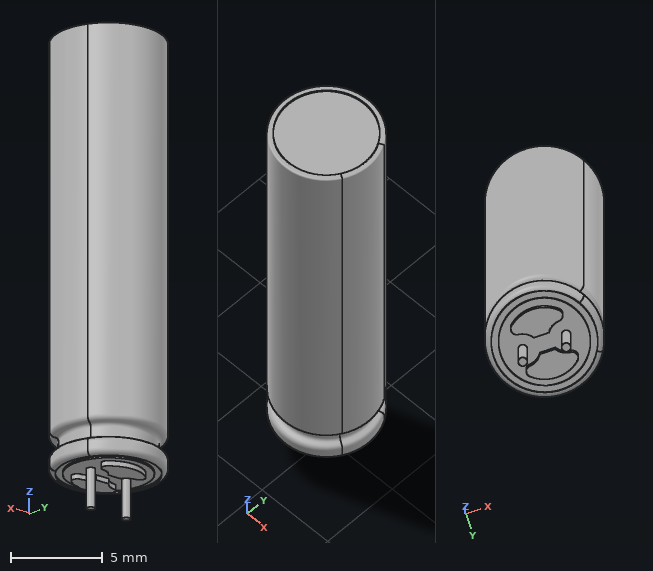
import cadquery as cq
import math


outer_radius = 3.25
total_height = 27.4
lead_length = 2.0
foot_height = 0.3
base_z = foot_height
top_z = total_height - lead_length

sleeve_thickness = 0.1
opening_radius = 2.9
top_round = sleeve_thickness
bottom_round = 0.325
stripe_half_angle = 30.0

neck_radius = 2.75
bead_flat = 0.4
neck_flat = 0.42
flank_outer_round = 0.325
flank_inner_round = 0.25
flank_center_radius = outer_radius - flank_outer_round
neck_center_radius = neck_radius + flank_inner_round
flank_height = math.sqrt(
    (flank_outer_round + flank_inner_round) ** 2 - (neck_center_radius - flank_center_radius) ** 2
)

bead_bottom_z = base_z + bottom_round
bead_top_z = bead_bottom_z + bead_flat
neck_bottom_z = bead_top_z + flank_height
neck_top_z = neck_bottom_z + neck_flat
body_bottom_z = neck_top_z + flank_height

lead_pitch = 2.5
lead_diameter = 0.5

bung_radius = 2.5
bung_top_z = body_bottom_z
foot_outer_radius = 2.05
foot_inner_y = 0.5
foot_end_round = 0.33
lead_clearance_radius = 0.95


def arc_point(center, radius, degrees):
    """Point on a circle in the (radius, height) half plane."""
    angle = math.radians(degrees)
    return (center[0] + radius * math.cos(angle), center[1] + radius * math.sin(angle))


def turned_body(inset):
    """Solid of revolution whose outline lies `inset` inside the outside of the sleeve."""
    wall = outer_radius - inset
    neck = neck_radius - inset
    bottom = base_z + inset
    top = top_z - inset
    corner = bottom_round - inset
    outer_round = flank_outer_round - inset
    inner_round = flank_inner_round + inset
    rim_round = top_round - inset

    tilt = math.degrees(math.atan2(flank_height, neck_center_radius - flank_center_radius))
    bead_center = (flank_center_radius, bead_top_z)
    neck_low_center = (neck_center_radius, neck_bottom_z)
    neck_high_center = (neck_center_radius, neck_top_z)
    body_center = (flank_center_radius, body_bottom_z)
    corner_center = (outer_radius - bottom_round, bead_bottom_z)

    outline = (
        cq.Workplane("XZ")
        .moveTo(0, bottom)
        .lineTo(corner_center[0], bottom)
        .threePointArc(arc_point(corner_center, corner, -45), (wall, bead_bottom_z))
        .lineTo(wall, bead_top_z)
        .threePointArc(
            arc_point(bead_center, outer_round, tilt / 2),
            arc_point(bead_center, outer_round, tilt),
        )
        .threePointArc(
            arc_point(neck_low_center, inner_round, 180 + tilt / 2),
            (neck, neck_bottom_z),
        )
        .lineTo(neck, neck_top_z)
        .threePointArc(
            arc_point(neck_high_center, inner_round, 180 - tilt / 2),
            arc_point(neck_high_center, inner_round, 180 - tilt),
        )
        .threePointArc(
            arc_point(body_center, outer_round, -tilt / 2),
            (wall, body_bottom_z),
        )
    )
    if rim_round > 0:
        rim_center = (outer_radius - top_round, top_z - top_round)
        outline = outline.lineTo(wall, rim_center[1]).threePointArc(
            arc_point(rim_center, rim_round, 45), (rim_center[0], top)
        )
    else:
        outline = outline.lineTo(wall, top)
    return outline.lineTo(0, top).close().revolve(360, (0, 0, 0), (0, 1, 0))


def cylinder(radius, bottom, top, x=0):
    return cq.Workplane("XY", origin=(x, 0, bottom)).circle(radius).extrude(top - bottom)


def make_stripe_wedge():
    """Prism with its edge on the axis, covering the angle of the stripe on the +X side."""
    reach = 2 * outer_radius
    half_width = reach * math.tan(math.radians(stripe_half_angle))
    corners = [(0, 0), (reach, -half_width), (reach, half_width)]
    return cq.Workplane("XY").polyline(corners).close().extrude(top_z)


def make_full_sleeve():
    """Thin skin over the can, folded in at both ends around round openings."""
    skin = turned_body(0).cut(turned_body(sleeve_thickness))
    top_opening = cylinder(opening_radius, top_z - sleeve_thickness, top_z)
    bottom_opening = cylinder(opening_radius, base_z, base_z + sleeve_thickness)
    return skin.cut(top_opening).cut(bottom_opening)


def make_can():
    return turned_body(sleeve_thickness).cut(cylinder(bung_radius, base_z, bung_top_z))


def make_foot(side):
    """Rounded foot on the +Y (side = 1) or -Y (side = -1) half, hollowed around both leads."""
    half_plane = (
        cq.Workplane("XY")
        .center(0, side * (foot_inner_y + foot_outer_radius))
        .rect(2 * foot_outer_radius, 2 * foot_outer_radius)
        .extrude(foot_height)
    )
    foot = cylinder(foot_outer_radius, 0, foot_height).intersect(half_plane)
    for x in lead_positions:
        foot = foot.cut(cylinder(lead_clearance_radius, 0, foot_height, x))
    return foot.edges("|Z and (<X or >X)").fillet(foot_end_round)


def make_bung():
    bung = cylinder(bung_radius, base_z, bung_top_z)
    for side in (-1, 1):
        bung = bung.union(make_foot(side))
    for x in lead_positions:
        bung = bung.cut(cylinder(lead_diameter / 2, base_z, bung_top_z, x))
    return bung


def make_lead(x):
    return cylinder(lead_diameter / 2, -lead_length, bung_top_z, x)


lead_positions = (-lead_pitch / 2, lead_pitch / 2)

full_sleeve = make_full_sleeve()
stripe_wedge = make_stripe_wedge()
sleeve = full_sleeve.cut(stripe_wedge)
stripe = full_sleeve.intersect(stripe_wedge)
can = make_can()
bung = make_bung()
leads = [make_lead(x) for x in lead_positions]

result = cq.Compound.makeCompound(
    [sleeve.val(), stripe.val(), can.val(), bung.val(), *[lead.val() for lead in leads]]
)